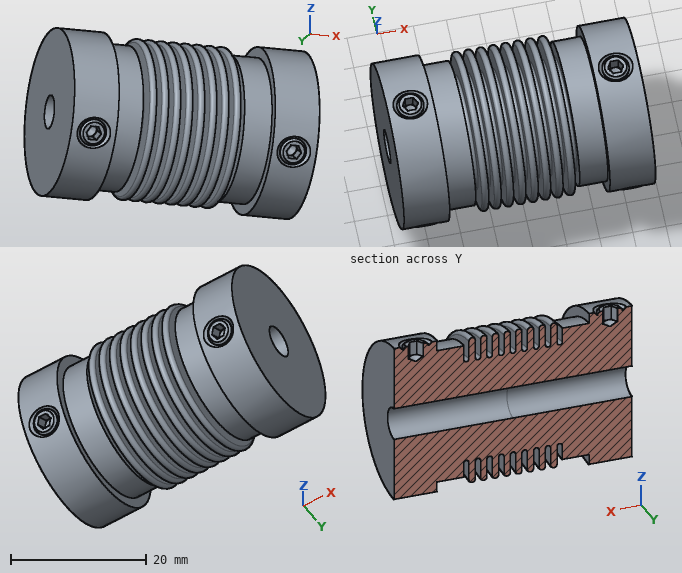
import cadquery as cq
import math

overall_length = 38.0
bore_diameter = 5.0

flange_diameter = 25.0
flange_length = 6.9
neck_diameter = 21.8
bellows_length = 15.7

crest_count = 8
crest_width = 1.08
crest_diameter = 24.0
root_diameter = 16.4

screw_diameter = 4.0
screw_face_diameter = 3.3
screw_end_distance = 3.5
screw_angles = (0.0, 120.0)
hole_mouth_diameter = 5.1
socket_sides = 6
socket_across_flats = 2.0
socket_depth = 2.2
socket_tip_angle = 120.0

half_length = overall_length / 2
flange_radius = flange_diameter / 2
neck_radius = neck_diameter / 2
half_bellows = bellows_length / 2
flange_inner_x = half_length - flange_length
screw_x = half_length - screw_end_distance

crest_pitch = (bellows_length + crest_width) / (crest_count + 1)
crest_radius = crest_width / 2
crest_tip_radius = crest_diameter / 2
crest_center_radius = crest_tip_radius - crest_radius
root_arc_radius = (crest_pitch - crest_width) / 2
root_radius = root_diameter / 2
root_center_radius = root_radius + root_arc_radius

socket_tip_depth = socket_across_flats / 2 / math.tan(math.radians(socket_tip_angle / 2))
screw_length = socket_depth + 2 * socket_tip_depth


def make_body():
    """Revolve the half profile of both hubs and the bellows about X."""
    profile = (
        cq.Workplane("XY")
        .moveTo(-half_length, 0)
        .lineTo(-half_length, flange_radius)
        .lineTo(-flange_inner_x, flange_radius)
        .lineTo(-flange_inner_x, neck_radius)
        .lineTo(-half_bellows, neck_radius)
        .lineTo(-half_bellows, root_center_radius)
    )
    first_root_x = root_arc_radius - half_bellows

    for index in range(crest_count + 1):
        root_x = first_root_x + index * crest_pitch
        root_end = (root_x + root_arc_radius, root_center_radius)
        profile = profile.threePointArc((root_x, root_radius), root_end)
        if index < crest_count:
            crest_x = root_x + crest_pitch / 2
            crest_end_x = crest_x + crest_radius
            profile = (
                profile
                .lineTo(crest_x - crest_radius, crest_center_radius)
                .threePointArc((crest_x, crest_tip_radius), (crest_end_x, crest_center_radius))
                .lineTo(crest_end_x, root_center_radius)
            )

    profile = (
        profile
        .lineTo(half_bellows, neck_radius)
        .lineTo(flange_inner_x, neck_radius)
        .lineTo(flange_inner_x, flange_radius)
        .lineTo(half_length, flange_radius)
        .lineTo(half_length, 0)
        .close()
    )
    return profile.revolve(360, (0, 0, 0), (1, 0, 0))


def make_bore():
    """Shaft bore through the whole length."""
    return cq.Workplane("YZ").circle(bore_diameter / 2).extrude(half_length, both=True)


def make_hole_mouth():
    """45 degree countersink at the mouth of a screw hole, axis along Z at the origin."""
    hole_radius = screw_diameter / 2
    mouth_radius = hole_mouth_diameter / 2
    depth = mouth_radius - hole_radius
    return cq.Workplane(cq.Solid.makeCone(
        hole_radius, mouth_radius, depth, cq.Vector(0, 0, flange_radius - depth)
    ))


def make_screw():
    """Outer end of a set screw: a cylinder with a 45 degree chamfer."""
    chamfer = (screw_diameter - screw_face_diameter) / 2
    return (
        cq.Workplane("XY", origin=(0, 0, flange_radius - screw_length))
        .circle(screw_diameter / 2)
        .extrude(screw_length)
        .faces(">Z")
        .chamfer(chamfer)
    )


def make_socket():
    """Hexagonal socket, corners along X, ending in a conical drill point."""
    socket_floor = flange_radius - socket_depth
    corner_turn = 180 / socket_sides
    hexagon = (
        cq.Workplane("XY", origin=(0, 0, socket_floor))
        .transformed(rotate=(0, 0, corner_turn))
        .polygon(socket_sides, socket_across_flats, circumscribed=True)
        .extrude(socket_depth)
    )
    drill_point = cq.Solid.makeCone(
        0, socket_across_flats / 2, socket_tip_depth, cq.Vector(0, 0, socket_floor - socket_tip_depth)
    )
    return hexagon.union(cq.Workplane(drill_point))


def place(tool, x, angle):
    """Move a radial feature to its flange and turn it about the X axis."""
    return tool.rotate((0, 0, 0), (1, 0, 0), angle).translate((x, 0, 0))


result = make_body().cut(make_bore())
mouth = make_hole_mouth()
screw = make_screw()
socket = make_socket()
for x in (-screw_x, screw_x):
    for angle in screw_angles:
        result = result.cut(place(mouth, x, angle))
        result = result.union(place(screw, x, angle))
        result = result.cut(place(socket, x, angle))